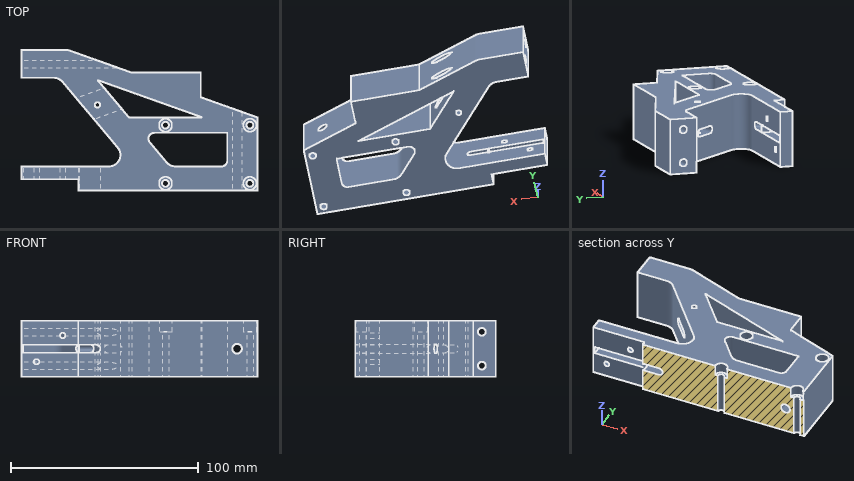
import cadquery as cq
import math

length = 125.8
width = 75.0
thickness = 30.0
mid_height = thickness / 2

upper_arm_width = 15.0
upper_arm_bottom = width - upper_arm_width
lower_arm_top = 13.0
lower_arm_bottom = 6.0
lower_arm_step_x = 30.3
body_top = 39.0
roof_angle = math.radians(19.6)
pad_top = 62.9
pad_right = 95.6
strut_angle = math.radians(50)
fork_top_x = 20.1
fork_radius = 6.0
roof_radius = 6.0

strut_width = 15.0
roof_beam_width = 10.0
window_top = 30.7
window_right = 109.6
window_small_radius = 3.0
window_large_radius = 6.0

screw_xs = (76.8, 121.7)
screw_ys = (3.9, 34.9)
screw_diameter = 3.5
screw_head_diameter = 6.9
screw_head_depth = 6.0

cross_hole_x = 114.9
cross_hole_diameter = 5.0
arm_hole_diameter = 4.0
arm_hole_spacing = 18.0
pin_diameter = 2.9
pin_positions = ((8.0, 8.0), (22.0, 22.0))
strut_pin_diameter = 2.8
strut_pin_position = (40.5, 45.7)
slot_height = 4.0
slot_left = 0.9
slot_right = 42.0
slot_wall = 0.6
strut_slot_length = 13.8
strut_slot_center = (40.1, 46.0)
strut_slot_angle = math.radians(20)


def roof_x(y):
    """X of the sloping upper edge at the given Y."""
    return length - (y - body_top) / math.tan(roof_angle)


def roof_y(x):
    """Y of the sloping upper edge at the given X."""
    return body_top + (length - x) * math.tan(roof_angle)


def strut_x(y, offset=0.0):
    """X at the given Y on a line parallel to the strut's fork face, offset into the strut."""
    return fork_top_x + (upper_arm_bottom - y) / math.tan(strut_angle) + offset / math.sin(strut_angle)


def round_corner(body, x, y, radius):
    """Round the upright edge that stands at (x, y)."""
    reach = 0.1
    low = (x - reach, y - reach, -reach)
    high = (x + reach, y + reach, thickness + reach)
    corner = cq.selectors.BoxSelector(low, high)
    return body.edges("|Z").edges(corner).fillet(radius)


def make_body():
    fork_upper = (fork_top_x, upper_arm_bottom)
    fork_lower = (strut_x(lower_arm_top), lower_arm_top)
    roof_start = (roof_x(width), width)
    outline = [
        (0, width),
        roof_start,
        (roof_x(pad_top), pad_top),
        (pad_right, pad_top),
        (pad_right, roof_y(pad_right)),
        (length, body_top),
        (length, 0),
        (lower_arm_step_x, 0),
        (lower_arm_step_x, lower_arm_bottom),
        (0, lower_arm_bottom),
        (0, lower_arm_top),
        fork_lower,
        fork_upper,
        (0, upper_arm_bottom),
    ]
    body = cq.Workplane("XY").polyline(outline).close().extrude(thickness)
    body = round_corner(body, *fork_upper, fork_radius)
    body = round_corner(body, *fork_lower, fork_radius)
    return round_corner(body, *roof_start, roof_radius)


def make_triangle():
    right_x = length - roof_beam_width / math.sin(roof_angle)
    left_x = strut_x(body_top, strut_width)
    base = right_x - left_x
    run_per_rise = 1 / math.tan(roof_angle) - 1 / math.tan(strut_angle)
    apex_y = body_top + base / run_per_rise
    apex_x = strut_x(apex_y, strut_width)
    corners = [(left_x, body_top), (right_x, body_top), (apex_x, apex_y)]
    return cq.Workplane("XY").polyline(corners).close().extrude(thickness)


def make_window():
    lower_left = (strut_x(lower_arm_top, strut_width), lower_arm_top)
    upper_left = (strut_x(window_top, strut_width), window_top)
    lower_right = (window_right, lower_arm_top)
    corners = [lower_left, lower_right, (window_right, window_top), upper_left]
    window = cq.Workplane("XY").polyline(corners).close().extrude(thickness)
    window = round_corner(window, *lower_left, window_large_radius)
    window = round_corner(window, *lower_right, window_small_radius)
    return round_corner(window, *upper_left, window_small_radius)


def drill_screw_holes(body):
    centers = [(x, y) for x in screw_xs for y in screw_ys]
    top = cq.Workplane("XY", origin=(0, 0, thickness))
    shanks = top.pushPoints(centers).circle(screw_diameter / 2).extrude(-thickness)
    heads = top.pushPoints(centers).circle(screw_head_diameter / 2).extrude(-screw_head_depth)
    return body.cut(shanks).cut(heads)


def make_upper_arm_holes():
    center_y = width - upper_arm_width / 2
    plane = cq.Workplane("YZ")
    centers = [(center_y, mid_height + side * arm_hole_spacing / 2) for side in (-1, 1)]
    return plane.pushPoints(centers).circle(arm_hole_diameter / 2).extrude(length)


def make_lower_arm_cuts():
    plane = cq.Workplane("XZ")
    pins = plane.pushPoints(pin_positions).circle(pin_diameter / 2).extrude(-lower_arm_top)
    slot_radius = slot_height / 2
    slot_bottom = mid_height - slot_radius
    slot_top = mid_height + slot_radius
    arm_slot = (
        plane.moveTo(slot_left, slot_bottom)
        .lineTo(lower_arm_step_x, slot_bottom)
        .lineTo(lower_arm_step_x, slot_top)
        .lineTo(slot_left, slot_top)
        .close()
        .extrude(-lower_arm_top)
    )
    body_slot_left = lower_arm_step_x + slot_wall
    body_slot = (
        plane.moveTo(body_slot_left, slot_bottom)
        .lineTo(slot_right - slot_radius, slot_bottom)
        .threePointArc((slot_right, mid_height), (slot_right - slot_radius, slot_top))
        .lineTo(body_slot_left, slot_top)
        .close()
        .extrude(-lower_arm_top)
    )
    return pins.union(arm_slot).union(body_slot)


def make_cross_hole():
    plane = cq.Workplane("XZ", origin=(cross_hole_x, 0, mid_height))
    return plane.circle(cross_hole_diameter / 2).extrude(-width)


def make_strut_cuts():
    pin = cq.Workplane("XY").center(*strut_pin_position).circle(strut_pin_diameter / 2).extrude(thickness)
    across_slot = (math.sin(strut_slot_angle), -math.cos(strut_slot_angle), 0)
    through_slot = (math.cos(strut_slot_angle), math.sin(strut_slot_angle), 0)
    slot_plane = cq.Plane(origin=(*strut_slot_center, mid_height), xDir=across_slot, normal=through_slot)
    slot = cq.Workplane(slot_plane).slot2D(strut_slot_length, slot_height).extrude(strut_width, both=True)
    strut = [
        (strut_x(lower_arm_top), lower_arm_top),
        (strut_x(lower_arm_top, strut_width), lower_arm_top),
        (strut_x(upper_arm_bottom, strut_width), upper_arm_bottom),
        (strut_x(upper_arm_bottom), upper_arm_bottom),
    ]
    strut_block = cq.Workplane("XY").polyline(strut).close().extrude(thickness)
    slot = slot.intersect(strut_block)
    return pin.union(slot)


result = make_body().cut(make_triangle()).cut(make_window())
result = drill_screw_holes(result)
result = result.cut(make_upper_arm_holes()).cut(make_lower_arm_cuts())
result = result.cut(make_cross_hole()).cut(make_strut_cuts())